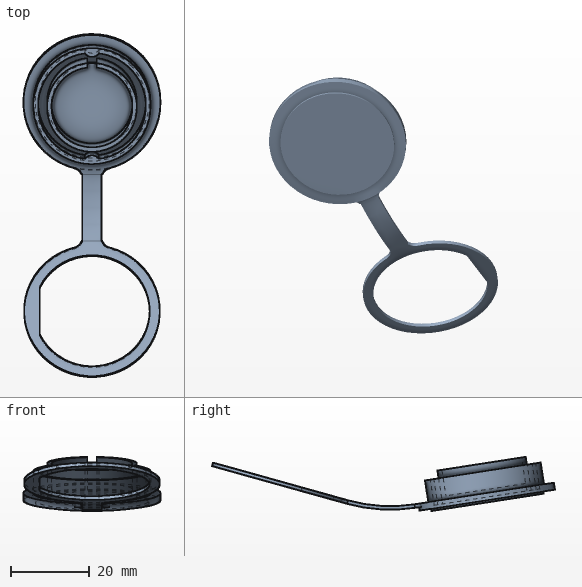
import cadquery as cq
import math

cap_tilt = 8.8
flange_radius = 17.5
flange_thickness = 1.8
base_radius = 14.5
base_thickness = 0.57
outer_wall_radius = 14.9
outer_wall_inner_radius = 13.7
outer_wall_height = 5.6
inner_wall_radius = 11.4
inner_wall_inner_radius = 10.3
inner_wall_height = 7.6
moat_depth = 1.0
center_floor_height = 1.0
center_floor_radius = inner_wall_inner_radius
slot_width = 2.4

rib_width = 3.6
rib_projection = 1.05

ring_tilt = 15.6
ring_radius = 17.3
ring_hole_radius = 14.7
ring_flat_offset = 13.3
tether_thickness = 1.0

neck_reach = 18.4
neck_fillet = 2.6
strap_width = 5.0
bend_radius = 40.2


def disc_with_neck(radius, thickness, neck_direction):
    """Disc hanging below height 0, with a flared neck toward +Y (1) or -Y (-1)."""
    flare_center_x = strap_width / 2 + neck_fillet
    flare_center_y = math.sqrt((radius + neck_fillet) ** 2 - flare_center_x**2)
    root_x = flare_center_x * radius / (radius + neck_fillet)
    root_y = flare_center_y * radius / (radius + neck_fillet)
    end_x = flare_center_x - math.sqrt(neck_fillet**2 - (flare_center_y - neck_reach) ** 2)
    middle_y = (root_y + neck_reach) / 2
    middle_x = flare_center_x - math.sqrt(neck_fillet**2 - (flare_center_y - middle_y) ** 2)

    neck = (
        cq.Workplane("XY")
        .moveTo(0, 0)
        .lineTo(root_x, neck_direction * root_y)
        .threePointArc((middle_x, neck_direction * middle_y), (end_x, neck_direction * neck_reach))
        .lineTo(-end_x, neck_direction * neck_reach)
        .threePointArc((-middle_x, neck_direction * middle_y), (-root_x, neck_direction * root_y))
        .close()
        .extrude(-tether_thickness)
    )
    return cylinder(radius, -thickness, 0).union(neck)


def cylinder(radius, bottom, top):
    return cq.Workplane("XY").workplane(offset=bottom).circle(radius).extrude(top - bottom)


def tube(radius, inner_radius, bottom, top):
    return cylinder(radius, bottom, top).cut(cylinder(inner_radius, bottom, top))


def make_rib():
    """Rib on the +Y side, rooted inside the outer wall and with a rounded nose."""
    root_y = (outer_wall_radius + outer_wall_inner_radius) / 2
    base_y = math.sqrt(outer_wall_inner_radius**2 - (rib_width / 2) ** 2)
    nose_y = outer_wall_inner_radius - rib_projection
    return (
        cq.Workplane("XY")
        .workplane(offset=-moat_depth)
        .moveTo(-rib_width / 2, root_y)
        .lineTo(-rib_width / 2, base_y)
        .threePointArc((0, nose_y), (rib_width / 2, base_y))
        .lineTo(rib_width / 2, root_y)
        .close()
        .extrude(outer_wall_height + moat_depth)
    )


def make_cap():
    cap = disc_with_neck(flange_radius, flange_thickness, -1)
    base_bottom = -flange_thickness - base_thickness
    cap = cap.union(cylinder(base_radius, base_bottom, -flange_thickness))
    cap = cap.cut(cylinder(outer_wall_inner_radius, -moat_depth, 0))
    cap = cap.union(tube(outer_wall_radius, outer_wall_inner_radius, -moat_depth, outer_wall_height))

    inner_wall = tube(inner_wall_radius, inner_wall_inner_radius, -moat_depth, inner_wall_height)
    slot = (
        cq.Workplane("XY")
        .workplane(offset=-moat_depth)
        .center(0, inner_wall_radius / 2)
        .rect(slot_width, inner_wall_radius)
        .extrude(inner_wall_height + moat_depth)
    )
    cap = cap.union(inner_wall.cut(slot))
    cap = cap.union(cylinder(center_floor_radius, -moat_depth, center_floor_height))

    rib = make_rib()
    return cap.union(rib).union(rib.mirror("XZ"))


def make_ring():
    hole = cylinder(ring_hole_radius, -tether_thickness, 0)
    flat_side = (
        cq.Workplane("XY")
        .center((ring_hole_radius - ring_flat_offset) / 2, 0)
        .rect(ring_hole_radius + ring_flat_offset, 2 * ring_hole_radius)
        .extrude(-tether_thickness)
    )
    return disc_with_neck(ring_radius, tether_thickness, 1).cut(hole.intersect(flat_side))


cap_angle = math.radians(cap_tilt)
ring_angle = math.radians(ring_tilt)

strap_start_y = -neck_reach * math.cos(cap_angle)
strap_start_z = -neck_reach * math.sin(cap_angle)
bend_y = strap_start_y - bend_radius * math.sin(cap_angle)
bend_z = strap_start_z + bend_radius * math.cos(cap_angle)


def bend_point(radius, angle):
    """Point (y, z) on the bend; the angle is measured from straight down toward -Y."""
    return (bend_y - radius * math.sin(angle), bend_z - radius * math.cos(angle))


def make_strap():
    lower_radius = bend_radius + tether_thickness
    return (
        cq.Workplane("YZ")
        .moveTo(*bend_point(bend_radius, -cap_angle))
        .threePointArc(bend_point(bend_radius, 0), bend_point(bend_radius, ring_angle))
        .lineTo(*bend_point(lower_radius, ring_angle))
        .threePointArc(bend_point(lower_radius, 0), bend_point(lower_radius, -cap_angle))
        .close()
        .extrude(strap_width / 2, both=True)
    )


strap_end_y, strap_end_z = bend_point(bend_radius, ring_angle)
ring_center_y = strap_end_y - neck_reach * math.cos(ring_angle)
ring_center_z = strap_end_z + neck_reach * math.sin(ring_angle)

cap = make_cap().rotate((0, 0, 0), (1, 0, 0), cap_tilt)
ring = make_ring().rotate((0, 0, 0), (1, 0, 0), -ring_tilt)
ring = ring.translate((0, ring_center_y, ring_center_z))
result = cap.union(make_strap()).union(ring)